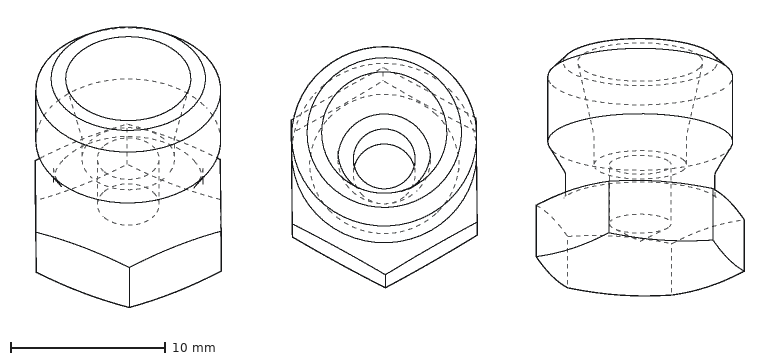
import cadquery as cq
import math

height = 14.0
across_flats = 12.0
hex_height = 4.0
corner_radius = across_flats / 2 / math.cos(math.radians(30))

hex_chamfer_angle = math.radians(15)

body_radius = 12.0 / 2
body_bottom = 8.55
top_chamfer = 1.0
neck_radius = 9.7 / 2
neck_fillet = 1.0
runout_angle = math.radians(30)

seat_mouth_radius = 4.06
bore_radius = 6.0 / 2
bore_depth = 7.0
seat_half_angle = math.radians(12)
hole_radius = 4.0 / 2
hole_bottom = 3.0
drill_half_angle = math.radians(59)


def make_hexagon():
    """Hexagon with corners on the Y axis and both ends turned to a shallow cone."""
    prism = (
        cq.Workplane("XY")
        .polygon(6, 2 * corner_radius)
        .extrude(hex_height)
        .rotate((0, 0, 0), (0, 0, 1), 90)
    )
    end_radius = across_flats / 2
    drop = (corner_radius - end_radius) * math.tan(hex_chamfer_angle)
    envelope = (
        cq.Workplane("XZ")
        .moveTo(0, 0)
        .lineTo(end_radius, 0)
        .lineTo(corner_radius, drop)
        .lineTo(corner_radius, hex_height - drop)
        .lineTo(end_radius, hex_height)
        .lineTo(0, hex_height)
        .close()
        .revolve(360, (0, 0, 0), (0, 1, 0))
    )
    return prism.intersect(envelope)


def make_shank():
    """Revolved neck and body, with the neck blending into the hexagon and the runout."""
    fillet_center_x = neck_radius + neck_fillet
    neck_bottom = hex_height + neck_fillet
    runout_radius = fillet_center_x - neck_fillet * math.cos(runout_angle)
    runout_bottom = body_bottom - (body_radius - runout_radius) / math.tan(runout_angle)
    neck_top = runout_bottom - neck_fillet * math.sin(runout_angle)

    lower_mid = (
        fillet_center_x - neck_fillet * math.cos(math.radians(45)),
        neck_bottom - neck_fillet * math.sin(math.radians(45)),
    )
    upper_mid = (
        fillet_center_x - neck_fillet * math.cos(runout_angle / 2),
        neck_top + neck_fillet * math.sin(runout_angle / 2),
    )
    return (
        cq.Workplane("XZ")
        .moveTo(0, hex_height)
        .lineTo(fillet_center_x, hex_height)
        .threePointArc(lower_mid, (neck_radius, neck_bottom))
        .lineTo(neck_radius, neck_top)
        .threePointArc(upper_mid, (runout_radius, runout_bottom))
        .lineTo(body_radius, body_bottom)
        .lineTo(body_radius, height - top_chamfer)
        .lineTo(body_radius - top_chamfer, height)
        .lineTo(0, height)
        .close()
        .revolve(360, (0, 0, 0), (0, 1, 0))
    )


def make_bore():
    """Conical seat, cylindrical bore with a shoulder, and a drilled blind hole."""
    seat_bottom = height - (seat_mouth_radius - bore_radius) / math.tan(seat_half_angle)
    shoulder = height - bore_depth
    hole_tip = hole_bottom - hole_radius / math.tan(drill_half_angle)
    return (
        cq.Workplane("XZ")
        .moveTo(0, hole_tip)
        .lineTo(hole_radius, hole_bottom)
        .lineTo(hole_radius, shoulder)
        .lineTo(bore_radius, shoulder)
        .lineTo(bore_radius, seat_bottom)
        .lineTo(seat_mouth_radius, height)
        .lineTo(0, height)
        .close()
        .revolve(360, (0, 0, 0), (0, 1, 0))
    )


result = make_hexagon().union(make_shank()).cut(make_bore())